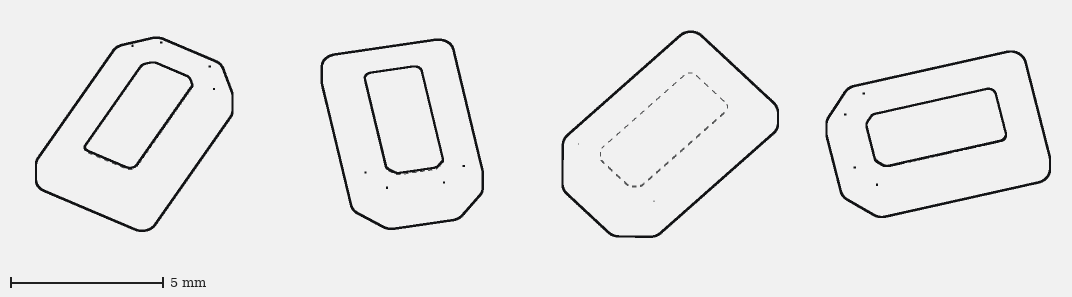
import cadquery as cq
import math

WIDTH = 4.4
LENGTH = 6.9
HEIGHT = 1.45
CORNER_CUT = 1.015
CORNER_RADIUS = 0.5
BEVEL = 0.5
EDGE_RADIUS = 0.105

RECESS_INSET = 1.25
RECESS_DEPTH = 0.16
RECESS_CORNER_RADIUS = 0.25
RIM_RADIUS = 0.105


def plate_outline(inset, corner_radius, z):
    """Closed wire: the body outline moved inward, with every corner rounded."""
    half_x = WIDTH / 2 - inset
    half_y = LENGTH / 2 - inset
    cut = CORNER_CUT - inset * (2 - math.sqrt(2))
    corners = [
        (-half_x, -half_y),
        (half_x, -half_y),
        (half_x, half_y - cut),
        (half_x - cut, half_y),
        (-half_x + cut, half_y),
        (-half_x, half_y - cut),
    ]
    sharp = cq.Workplane("XY").workplane(offset=z).polyline(corners).close().val()
    return sharp.fillet2D(corner_radius, sharp.Vertices())


def extruded(outline, height):
    return cq.Workplane("XY").add(cq.Solid.extrudeLinear(outline, [], cq.Vector(0, 0, height)))


def make_body():
    """Straight-sided base with a sloped top whose corners keep one plan radius."""
    shoulder = HEIGHT - BEVEL
    base_outline = plate_outline(0, CORNER_RADIUS, 0)
    shoulder_outline = plate_outline(0, CORNER_RADIUS, shoulder)
    top_outline = plate_outline(BEVEL, CORNER_RADIUS, HEIGHT)
    slope = cq.Solid.makeLoft([shoulder_outline, top_outline], True)
    body = extruded(base_outline, shoulder).union(cq.Workplane("XY").add(slope))
    shoulder_edges = cq.selectors.BoxSelector(
        (-WIDTH, -LENGTH, shoulder - 0.01), (WIDTH, LENGTH, shoulder + 0.01)
    )
    body = body.edges(shoulder_edges).fillet(EDGE_RADIUS)
    body = body.faces(">Z").edges().fillet(EDGE_RADIUS)
    return body.faces("<Z").edges().fillet(EDGE_RADIUS)


def cut_recess(body):
    """Shallow flat-floored recess with a rounded rim."""
    floor = HEIGHT - RECESS_DEPTH
    outline = plate_outline(RECESS_INSET, RECESS_CORNER_RADIUS, floor)
    recessed = body.cut(extruded(outline, RECESS_DEPTH))
    rim = recessed.faces(">Z").wires(cq.selectors.LengthNthSelector(0)).edges()
    return rim.fillet(RIM_RADIUS)


result = cut_recess(make_body())